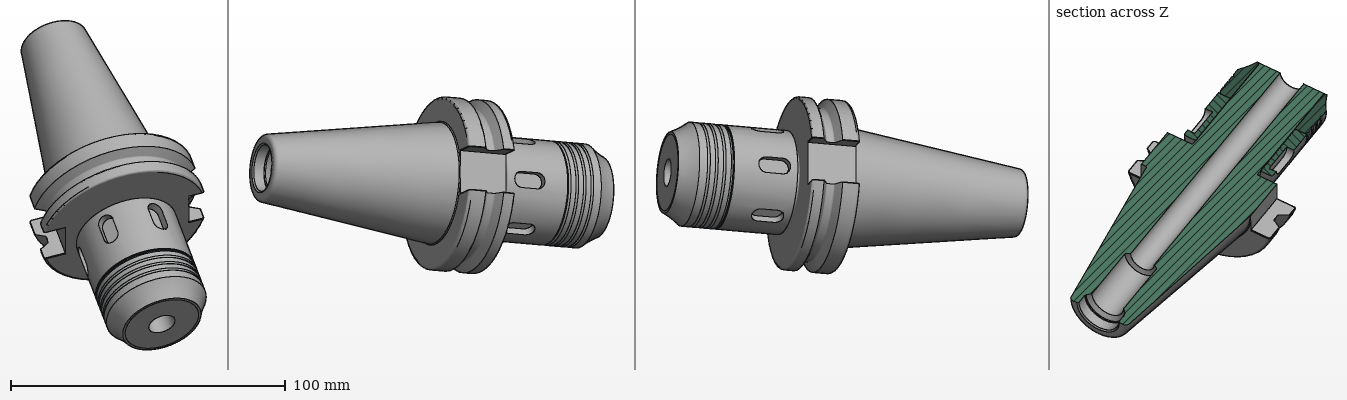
import cadquery as cq
import math

LENGTH = 133.2

TAPER_RATIO = 7 / 24
TAPER_DIA = 44.5
TAPER_END = 68.2
SHANK_ROUND = 1.7

FLANGE_DIA = 63.3
FLANGE_START = 69.0
FLANGE_END = 87.1
REAR_EDGE_ROUND = 1.0
FRONT_EDGE_ROUND = 0.8

GROOVE_X = 79.2
GROOVE_FLOOR_WIDTH = 2.9
GROOVE_DEPTH = 3.6
GROOVE_WALL_ANGLE = 30
GROOVE_CORNER_ROUND = 0.5

DRIVE_SLOT_WIDTH = 15.9
NEAR_SLOT_FLOOR = 22.4
FAR_SLOT_FLOOR = 24.7
DRIVE_SLOT_CHAMFER = 0.3

NOSE_DIA = 28.0

ROOT_ROUND = 0.4

THROUGH_DIA = 10.0
BORE_CHAMFER = 0.5
COUNTERBORE_DIA = 17.0
COUNTERBORE_DEPTH = 4.5
SEAT_DIA = 16.5
SEAT_DEPTH = 5.0
DRAWBAR_DIA = 13.5
DRAWBAR_DEPTH = 29.3
DRILL_POINT_ANGLE = 118

SLEEVE_DIA = 38.1
SLEEVE_START = 89.1
SLEEVE_END = 113.3
SLEEVE_REAR_ROUND = 0.8

POCKET_COUNT = 6
POCKET_X = 98.1
POCKET_LENGTH = 12.0
POCKET_WIDTH = 6.0
POCKET_FLOOR = 16.0

RING_LAND_WIDTH = 0.4
RING_LAND_DEPTH = 0.4
RING_CHAMFER_LENGTH = 0.8
RING_GROOVE_FIRST_X = 116.93
RING_GROOVE_PITCH = 3.0
RING_GROOVE_COUNT = 3
RING_GROOVE_WIDTH = 1.0
RING_GROOVE_DEPTH = 0.4
RING_NOSE_START = 126.5
RING_NOSE_DIA = 29.8
RING_NOSE_HOLLOW = 0.3


def turn(profile):
    """Revolve a closed (x, radius) profile around the X axis."""
    return profile.close().revolve(360, (0, 0, 0), (1, 0, 0))


def make_shank():
    end_radius = TAPER_DIA / 2 - TAPER_END * TAPER_RATIO / 2
    profile = (
        cq.Workplane("XY")
        .lineTo(0, end_radius)
        .lineTo(TAPER_END, TAPER_DIA / 2)
        .lineTo(FLANGE_START - ROOT_ROUND, TAPER_DIA / 2)
        .radiusArc((FLANGE_START, TAPER_DIA / 2 + ROOT_ROUND), -ROOT_ROUND)
        .lineTo(FLANGE_START, 0)
    )
    return turn(profile).faces("<X").edges().fillet(SHANK_ROUND)


def make_flange_disc():
    radius = FLANGE_DIA / 2
    disc = cq.Workplane("YZ", (FLANGE_START, 0, 0)).circle(radius).extrude(FLANGE_END - FLANGE_START)
    disc = disc.faces("<X").edges().fillet(REAR_EDGE_ROUND)
    return disc.faces(">X").edges().fillet(FRONT_EDGE_ROUND)


def make_gripper_groove():
    outer = FLANGE_DIA / 2
    floor = outer - GROOVE_DEPTH
    half_floor = GROOVE_FLOOR_WIDTH / 2
    half_mouth = half_floor + GROOVE_DEPTH * math.tan(math.radians(GROOVE_WALL_ANGLE))
    profile = (
        cq.Workplane("XY")
        .moveTo(GROOVE_X - half_mouth, outer)
        .lineTo(GROOVE_X - half_floor, floor)
        .lineTo(GROOVE_X + half_floor, floor)
        .lineTo(GROOVE_X + half_mouth, outer)
    )
    floor_edges = cq.selectors.RadiusNthSelector(0)
    return turn(profile).edges(floor_edges).fillet(GROOVE_CORNER_ROUND)


def cut_drive_slots(body):
    slot_start = FLANGE_START - ROOT_ROUND
    slot_length = FLANGE_END - slot_start
    for side, floor in ((-1, NEAR_SLOT_FLOOR), (1, FAR_SLOT_FLOOR)):
        slot = (
            cq.Workplane("XY")
            .box(slot_length, FLANGE_DIA, DRIVE_SLOT_WIDTH)
            .translate((slot_start + slot_length / 2, side * (floor + FLANGE_DIA / 2), 0))
        )
        body = body.cut(slot)
    rims = body.faces("|Z").edges().filter(lambda edge: abs(edge.Center().y) > FAR_SLOT_FLOOR + 0.7)
    return rims.chamfer(DRIVE_SLOT_CHAMFER)


def make_nose():
    radius = NOSE_DIA / 2
    profile = (
        cq.Workplane("XY")
        .moveTo(FLANGE_END, 0)
        .lineTo(FLANGE_END, radius + ROOT_ROUND)
        .radiusArc((FLANGE_END + ROOT_ROUND, radius), -ROOT_ROUND)
        .lineTo(LENGTH, radius)
        .lineTo(LENGTH, 0)
    )
    return turn(profile)


def make_bore():
    counterbore = COUNTERBORE_DIA / 2
    seat = SEAT_DIA / 2
    drawbar = DRAWBAR_DIA / 2
    through = THROUGH_DIA / 2
    point_length = (drawbar - through) / math.tan(math.radians(DRILL_POINT_ANGLE / 2))
    profile = (
        cq.Workplane("XY")
        .lineTo(0, counterbore + BORE_CHAMFER)
        .lineTo(BORE_CHAMFER, counterbore)
        .lineTo(COUNTERBORE_DEPTH, counterbore)
        .lineTo(COUNTERBORE_DEPTH, seat)
        .lineTo(SEAT_DEPTH, seat)
        .lineTo(SEAT_DEPTH + seat - drawbar, drawbar)
        .lineTo(DRAWBAR_DEPTH, drawbar)
        .lineTo(DRAWBAR_DEPTH + point_length, through)
        .lineTo(LENGTH, through)
        .lineTo(LENGTH, 0)
    )
    return turn(profile)


def make_holder():
    body = cut_drive_slots(make_shank().union(make_flange_disc()))
    body = body.cut(make_gripper_groove())
    return body.union(make_nose()).cut(make_bore())


def make_sleeve():
    sleeve = (
        cq.Workplane("YZ", (SLEEVE_START, 0, 0))
        .circle(SLEEVE_DIA / 2)
        .extrude(SLEEVE_END - SLEEVE_START)
        .faces("<X").edges().fillet(SLEEVE_REAR_ROUND)
        .faces(">X").workplane().hole(NOSE_DIA)
    )
    pocket = (
        cq.Workplane("XY", (POCKET_X, 0, POCKET_FLOOR))
        .slot2D(POCKET_LENGTH, POCKET_WIDTH)
        .extrude(SLEEVE_DIA / 2)
    )
    for index in range(POCKET_COUNT):
        angle = 90 + index * 360 / POCKET_COUNT
        sleeve = sleeve.cut(pocket.rotate((0, 0, 0), (1, 0, 0), angle))
    return sleeve


def make_front_ring():
    inner = NOSE_DIA / 2
    outer = SLEEVE_DIA / 2
    tip = RING_NOSE_DIA / 2
    profile = (
        cq.Workplane("XY")
        .moveTo(SLEEVE_END, inner)
        .lineTo(SLEEVE_END, outer - RING_LAND_DEPTH)
        .lineTo(SLEEVE_END + RING_LAND_WIDTH, outer - RING_LAND_DEPTH)
        .lineTo(SLEEVE_END + RING_LAND_WIDTH + RING_CHAMFER_LENGTH, outer)
    )
    half_width = RING_GROOVE_WIDTH / 2
    for index in range(RING_GROOVE_COUNT):
        x = RING_GROOVE_FIRST_X + index * RING_GROOVE_PITCH
        profile = (
            profile.lineTo(x - half_width, outer)
            .sagittaArc((x + half_width, outer), -RING_GROOVE_DEPTH)
        )
    profile = (
        profile.lineTo(RING_NOSE_START, outer)
        .sagittaArc((LENGTH, tip), -RING_NOSE_HOLLOW)
        .lineTo(LENGTH, inner)
    )
    return turn(profile)


holder = make_holder()
sleeve = make_sleeve()
front_ring = make_front_ring()

result = cq.Compound.makeCompound([holder.val(), sleeve.val(), front_ring.val()])